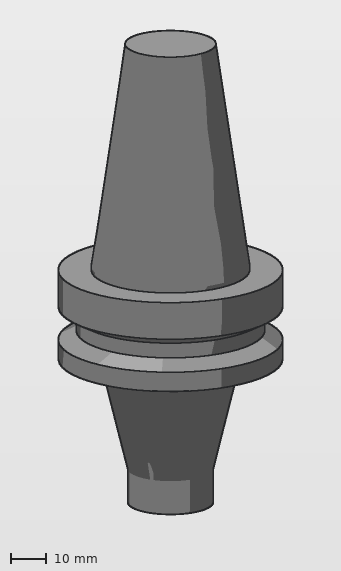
import cadquery as cq

total_length = 134.4

nose_diameter = 24.0
neck_diameter = 37.9
collar_diameter = 46.5
flange_diameter = 63.0
groove_diameter = 53.0
taper_large_diameter = 44.5
taper_small_diameter = 25.5

nose_length = 9.8
neck_length = 28.5
collar_length = 3.8
lower_rim_length = 5.6
groove_side_length = 2.7
groove_floor_length = 4.3
upper_rim_length = 10.8
gauge_land_length = 1.2

neck_start = nose_length
collar_start = neck_start + neck_length
flange_bottom = collar_start + collar_length
groove_bottom = flange_bottom + lower_rim_length
floor_bottom = groove_bottom + groove_side_length
floor_top = floor_bottom + groove_floor_length
groove_top = floor_top + groove_side_length
flange_top = groove_top + upper_rim_length
taper_start = flange_top + gauge_land_length

profile = [
    (nose_diameter, 0),
    (nose_diameter, neck_start),
    (neck_diameter, collar_start),
    (collar_diameter, flange_bottom),
    (flange_diameter, flange_bottom),
    (flange_diameter, groove_bottom),
    (groove_diameter, floor_bottom),
    (groove_diameter, floor_top),
    (flange_diameter, groove_top),
    (flange_diameter, flange_top),
    (taper_large_diameter, flange_top),
    (taper_large_diameter, taper_start),
    (taper_small_diameter, total_length),
]

outline = cq.Workplane("XZ").moveTo(0, 0)
for diameter, level in profile:
    outline = outline.lineTo(diameter / 2, level)
result = outline.lineTo(0, total_length).close().revolve(360, (0, 0, 0), (0, 1, 0))